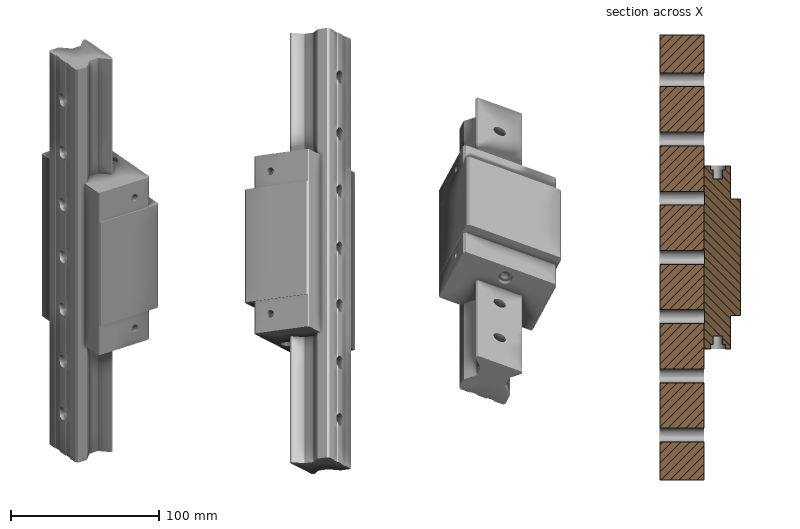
import cadquery as cq

RAIL_LENGTH = 300.0
RAIL_WIDTH = 34.0
RAIL_HEIGHT = 30.0
NECK_WIDTH = 21.0
FOOT_HEIGHT = 8.5
SHOULDER_HEIGHT = 28.2
FOOT_CHAMFER = 1.2
HEAD_CHAMFER = 1.0

GROOVE_OUTER_X = 8.7
GROOVE_INNER_X = 3.3
GROOVE_DEPTH = 0.5

RAIL_HOLE_COUNT = 7
RAIL_HOLE_PITCH = 40.0
RAIL_HOLE_DIAMETER = 9.0

BODY_LENGTH = 79.0
BODY_WIDTH = 70.0
BODY_TOP = 55.0
BODY_BOTTOM_CHAMFER = 1.2

CAP_WIDTH = 68.7
CAP_TOP = 48.0

CARRIAGE_LENGTH = 124.0
CARRIAGE_BOTTOM = 6.3
TOP_CHAMFER = 1.5

END_PORT_Y = 39.3
END_PORT_DIAMETER = 6.0
END_PORT_DEPTH = 9.0
END_PORT_RECESS_DIAMETER = 10.0
END_PORT_RECESS_DEPTH = 3.0

SIDE_PORT_Y = 35.5
SIDE_PORT_Z = 49.8
SIDE_PORT_DIAMETER = 5.5
SIDE_PORT_DEPTH = 6.0

CAP_BOTTOM_CHAMFER = BODY_BOTTOM_CHAMFER - (BODY_WIDTH - CAP_WIDTH) / 2


def symmetric_prism(right_side, length):
    """Extrude an outline mirrored about X = 0, centred on Z = 0."""
    left_side = [(-x, y) for x, y in reversed(right_side)]
    outline = cq.Workplane("XY").polyline(right_side + left_side).close()
    return outline.extrude(length / 2, both=True)


def rail_blank():
    """Waisted rail bar without its foot grooves and screw holes."""
    half_width = RAIL_WIDTH / 2
    half_neck = NECK_WIDTH / 2
    flank = half_width - half_neck
    right_side = [
        (half_width - FOOT_CHAMFER, 0),
        (half_width, FOOT_CHAMFER),
        (half_width, FOOT_HEIGHT),
        (half_neck, FOOT_HEIGHT + flank),
        (half_neck, SHOULDER_HEIGHT - flank),
        (half_width, SHOULDER_HEIGHT),
        (half_width, RAIL_HEIGHT - HEAD_CHAMFER),
        (half_width - HEAD_CHAMFER, RAIL_HEIGHT),
    ]
    return symmetric_prism(right_side, RAIL_LENGTH)


def foot_groove(side):
    """Shallow groove along the foot: straight outer wall, 45 degree inner wall."""
    outline = [
        (side * GROOVE_INNER_X, 0),
        (side * GROOVE_OUTER_X, 0),
        (side * GROOVE_OUTER_X, GROOVE_DEPTH),
        (side * (GROOVE_INNER_X + GROOVE_DEPTH), GROOVE_DEPTH),
    ]
    return cq.Workplane("XY").polyline(outline).close().extrude(RAIL_LENGTH / 2, both=True)


def rail_screw_holes():
    """Row of through holes across the rail height."""
    return (
        cq.Workplane("XZ", origin=(0, RAIL_HEIGHT, 0))
        .rarray(3, RAIL_HOLE_PITCH, 1, RAIL_HOLE_COUNT)
        .circle(RAIL_HOLE_DIAMETER / 2)
        .extrude(RAIL_HEIGHT)
    )


def make_rail():
    rail = rail_blank()
    for side in (-1, 1):
        rail = rail.cut(foot_groove(side))
    return rail.cut(rail_screw_holes())


def chamfered_block(width, top, length, bottom_chamfer):
    """Block with chamfers along its four edges parallel to Z."""
    half_width = width / 2
    right_side = [
        (half_width - bottom_chamfer, CARRIAGE_BOTTOM),
        (half_width, CARRIAGE_BOTTOM + bottom_chamfer),
        (half_width, top - TOP_CHAMFER),
        (half_width - TOP_CHAMFER, top),
    ]
    return symmetric_prism(right_side, length)


def end_port(end):
    """Recessed lubrication port in one end face of the carriage (end is -1 or 1)."""
    face = cq.Workplane("XY", origin=(0, END_PORT_Y, end * CARRIAGE_LENGTH / 2))
    bore = face.circle(END_PORT_DIAMETER / 2).extrude(-end * END_PORT_DEPTH)
    recess = face.circle(END_PORT_RECESS_DIAMETER / 2).extrude(-end * END_PORT_RECESS_DEPTH)
    return bore.union(recess)


def side_port(side, end):
    """Small blind hole in the flank of one end cap."""
    center = (side * CAP_WIDTH / 2, SIDE_PORT_Y, end * SIDE_PORT_Z)
    flank = cq.Workplane("YZ", origin=center)
    return flank.circle(SIDE_PORT_DIAMETER / 2).extrude(-side * SIDE_PORT_DEPTH)


def make_carriage():
    body = chamfered_block(BODY_WIDTH, BODY_TOP, BODY_LENGTH, BODY_BOTTOM_CHAMFER)
    caps = chamfered_block(CAP_WIDTH, CAP_TOP, CARRIAGE_LENGTH, CAP_BOTTOM_CHAMFER)
    carriage = body.union(caps).cut(rail_blank())
    for end in (-1, 1):
        carriage = carriage.cut(end_port(end))
        for side in (-1, 1):
            carriage = carriage.cut(side_port(side, end))
    return carriage


rail = make_rail()
carriage = make_carriage()

result = cq.Compound.makeCompound([rail.val(), carriage.val()])